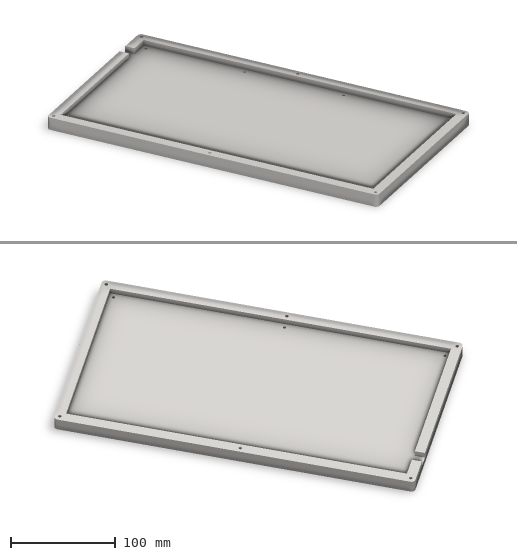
import cadquery as cq

length = 354.5
width = 193.3
height = 13.0
corner_radius = 4.0

rim = 10.0
pocket_depth = 6.0
floor_z = height - pocket_depth

notch_width = 11.7
notch_from_back = 35.0

rim_hole_diameter = 3.4
rim_hole_inset = 5.0

floor_hole_diameter = 3.0
floor_hole_depth = 5.0
floor_hole_inset = 14.5

middle_column = 172.5
back_columns = (120.2, 226.2)


def make_tray():
    """Round-cornered plate with its front left corner at the origin and a square-cornered pocket."""
    plate = cq.Workplane("XY").box(length, width, height, centered=False)
    plate = plate.edges("|Z").fillet(corner_radius)
    pocket = (
        cq.Workplane("XY")
        .box(length - 2 * rim, width - 2 * rim, pocket_depth, centered=False)
        .translate((rim, rim, floor_z))
    )
    return plate.cut(pocket)


def make_notch():
    """Block that opens the left rim from the outer side into the pocket."""
    return (
        cq.Workplane("XY")
        .box(rim, notch_width, pocket_depth, centered=(False, True, False))
        .translate((0, width - notch_from_back, floor_z))
    )


def make_holes(points, diameter, top_z, depth):
    """Cylinders that start at top_z and go down by depth."""
    return (
        cq.Workplane("XY", origin=(0, 0, top_z))
        .pushPoints(points)
        .circle(diameter / 2)
        .extrude(-depth)
    )


rim_hole_points = [
    (x, y)
    for x in (rim_hole_inset, middle_column, length - rim_hole_inset)
    for y in (rim_hole_inset, width - rim_hole_inset)
]

floor_front_y = floor_hole_inset
floor_back_y = width - floor_hole_inset
floor_end_columns = (floor_hole_inset, length - floor_hole_inset)
floor_hole_points = [(x, floor_front_y) for x in (*floor_end_columns, middle_column)]
floor_hole_points += [(x, floor_back_y) for x in (*floor_end_columns, *back_columns)]

result = (
    make_tray()
    .cut(make_notch())
    .cut(make_holes(rim_hole_points, rim_hole_diameter, height, height))
    .cut(make_holes(floor_hole_points, floor_hole_diameter, floor_z, floor_hole_depth))
)